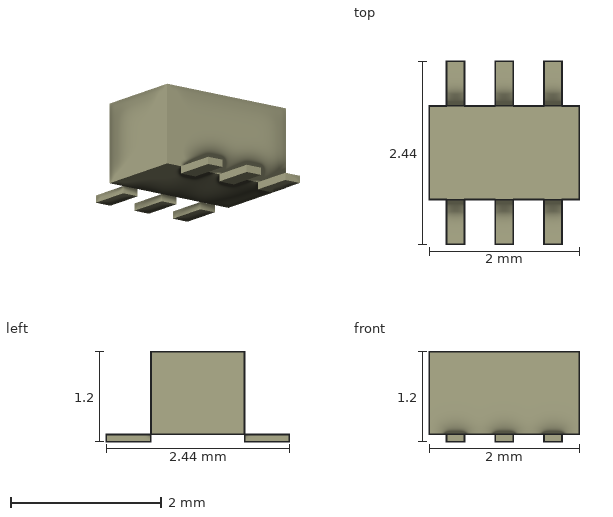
import cadquery as cq

overall_span = 2.44
overall_height = 1.2

lead_thickness = 0.1
lead_width = 0.245
lead_pitch = 0.65
leads_per_side = 3

package_length = 2.0
package_width = 1.25
package_height = overall_height - lead_thickness

lead_length = (overall_span - package_width) / 2


def make_package():
    """Plain block resting on the level of the lead tops."""
    return (
        cq.Workplane("XY")
        .workplane(offset=lead_thickness)
        .rect(package_length, package_width)
        .extrude(package_height)
    )


def make_lead(x, side):
    """Flat lead centred at x, running outward from the package edge; side is -1 or +1 along Y."""
    y = side * (package_width + lead_length) / 2
    return cq.Workplane("XY").center(x, y).rect(lead_width, lead_length).extrude(lead_thickness)


package = make_package()

leads = []
for side in (-1, 1):
    for index in range(leads_per_side):
        x = (index - (leads_per_side - 1) / 2) * lead_pitch
        leads.append(make_lead(x, side))

result = cq.Compound.makeCompound([package.val(), *[lead.val() for lead in leads]])